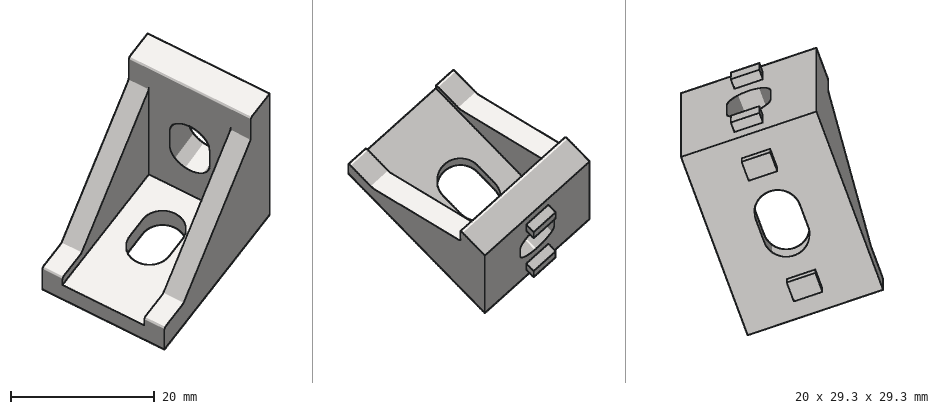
import cadquery as cq

width = 20.0
overall = 29.3
lug_height = 1.5
leg_length = overall - lug_height

leg_thickness = 5.0
floor_thickness = 3.3
rib_thickness = 3.3
slope_start = 22.82
edge_radius = 0.5
slope_radius = 1.0

slot_width = 6.5
slot_length = 10.0
lug_width = 4.22
lug_length = 2.95
lug_inset = 3.02

back = overall / 2 - lug_height
bottom = -overall / 2 + lug_height
front = back - leg_length
leg_middle_y = back - leg_length / 2
leg_middle_z = bottom + leg_length / 2


def block(x_size, y_min, y_max, z_min, z_max):
    """Box centred on X between the given Y and Z limits."""
    return (
        cq.Workplane("XY")
        .box(x_size, y_max - y_min, z_max - z_min, centered=(True, False, False))
        .translate((0, y_min, z_min))
    )


def edge_at(solid, y, z):
    """Edge running along X through the given Y and Z."""
    return solid.edges(cq.selectors.NearestToPointSelector((0, y, z)))


def bracket_body():
    """Solid L profile with a sloped web between its legs and rounded edges."""
    inner_y = back - leg_thickness
    inner_z = bottom + leg_thickness
    slope_y = back - slope_start
    slope_z = bottom + slope_start
    top = bottom + leg_length
    body = (
        cq.Workplane("YZ")
        .polyline([
            (back, bottom),
            (back, top),
            (inner_y, top),
            (inner_y, slope_z),
            (slope_y, inner_z),
            (front, inner_z),
            (front, bottom),
        ])
        .close()
        .extrude(width / 2, both=True)
    )
    for y, z, radius in (
        (inner_y, top, edge_radius),
        (front, inner_z, edge_radius),
        (inner_y, slope_z, slope_radius),
        (slope_y, inner_z, slope_radius),
    ):
        body = edge_at(body, y, z).fillet(radius)
    return body


def pocket():
    """Space between the two ribs, open at the front and top."""
    return block(
        width - 2 * rib_thickness,
        front,
        back - leg_thickness,
        bottom + floor_thickness,
        bottom + leg_length,
    )


def floor_slot():
    return (
        cq.Workplane("XY", origin=(0, leg_middle_y, bottom))
        .slot2D(slot_length, slot_width, 90)
        .extrude(floor_thickness)
    )


def wall_slot():
    return (
        cq.Workplane("XZ", origin=(0, back, leg_middle_z))
        .slot2D(slot_length, slot_width, 90)
        .extrude(leg_thickness)
    )


result = bracket_body().cut(pocket()).cut(floor_slot()).cut(wall_slot())

for near in (lug_inset, leg_length - lug_inset - lug_length):
    far = near + lug_length
    back_lug = block(lug_width, back, back + lug_height, bottom + near, bottom + far)
    bottom_lug = block(lug_width, back - far, back - near, bottom - lug_height, bottom)
    result = result.union(back_lug).union(bottom_lug)